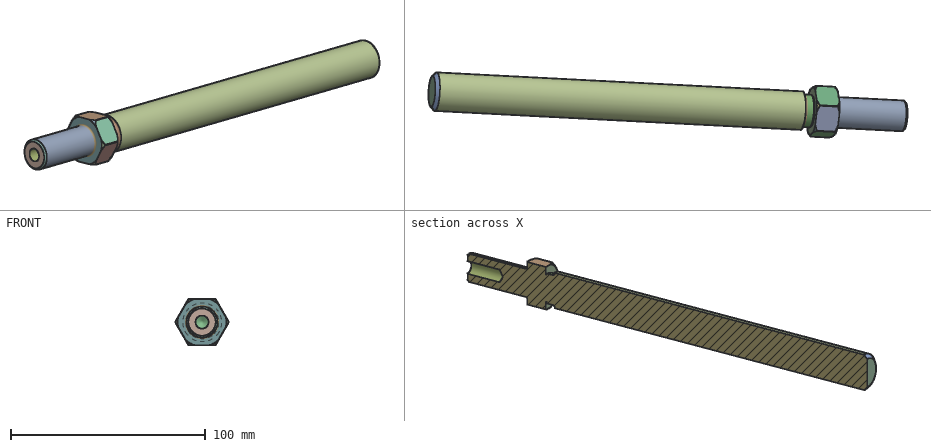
import cadquery as cq
import math

total_length = 249.0
stud_diameter = 16.0
stud_length = 37.0
stud_chamfer = 1.0
stud_root_fillet = 0.7

hex_across_flats = 24.0
hex_thickness = 12.0
hex_corner_diameter = 27.5
hex_face_diameter = 25.0
hex_chamfer_angle = 45.0

neck_diameter = 17.0
neck_length = 5.2
neck_chamfer = 0.7
neck_fillet = 1.2

bar_diameter = 20.0
bar_chamfer_length = 2.0
bar_chamfer_depth = 2.0

hole_diameter = 6.7
hole_depth = 20.0
drill_point_angle = 118.0

front_y = -total_length / 2
hex_front_y = front_y + stud_length
hex_back_y = hex_front_y + hex_thickness
bar_front_y = hex_back_y + neck_length
back_y = total_length / 2


def turned(outline):
    """Revolve a closed (radius, y) outline about the Y axis."""
    return cq.Workplane("XY").polyline(outline).close().revolve(360, (0, 0, 0), (0, 1, 0))


def make_rod():
    stud_radius = stud_diameter / 2
    neck_radius = neck_diameter / 2
    bar_radius = bar_diameter / 2
    stud_root_radius = stud_radius + stud_root_fillet
    neck_root_radius = neck_radius + neck_fillet
    half_root = math.sqrt(0.5)
    stud_fillet_middle = (
        stud_root_radius - stud_root_fillet * half_root,
        hex_front_y - stud_root_fillet * (1 - half_root),
    )
    neck_fillet_middle = (
        neck_root_radius - neck_fillet * half_root,
        bar_front_y - neck_fillet * (1 - half_root),
    )
    outline = (
        cq.Workplane("XY")
        .moveTo(0, front_y)
        .lineTo(stud_radius - stud_chamfer, front_y)
        .lineTo(stud_radius, front_y + stud_chamfer)
        .lineTo(stud_radius, hex_front_y - stud_root_fillet)
        .threePointArc(stud_fillet_middle, (stud_root_radius, hex_front_y))
        .lineTo(stud_root_radius, hex_back_y)
        .lineTo(neck_radius - neck_chamfer, hex_back_y)
        .lineTo(neck_radius, hex_back_y + neck_chamfer)
        .lineTo(neck_radius, bar_front_y - neck_fillet)
        .threePointArc(neck_fillet_middle, (neck_root_radius, bar_front_y))
        .lineTo(bar_radius, bar_front_y)
        .lineTo(bar_radius, back_y - bar_chamfer_length)
        .lineTo(bar_radius - bar_chamfer_depth, back_y)
        .lineTo(0, back_y)
        .close()
    )
    return outline.revolve(360, (0, 0, 0), (0, 1, 0))


def make_hex():
    sharp_radius = hex_across_flats / math.sqrt(3)
    corner_radius = hex_corner_diameter / 2
    face_radius = hex_face_diameter / 2
    chamfer_length = (corner_radius - face_radius) * math.tan(math.radians(hex_chamfer_angle))
    prism = (
        cq.Workplane("XZ", origin=(0, hex_back_y, 0))
        .polygon(6, 2 * sharp_radius)
        .extrude(hex_thickness)
    )
    disc = turned([
        (0, hex_front_y),
        (face_radius, hex_front_y),
        (corner_radius, hex_front_y + chamfer_length),
        (corner_radius, hex_back_y - chamfer_length),
        (face_radius, hex_back_y),
        (0, hex_back_y),
    ])
    return prism.intersect(disc)


def make_drilled_hole():
    hole_radius = hole_diameter / 2
    point_length = hole_radius / math.tan(math.radians(drill_point_angle / 2))
    hole_end_y = front_y + hole_depth
    return turned([
        (0, front_y),
        (hole_radius, front_y),
        (hole_radius, hole_end_y),
        (0, hole_end_y + point_length),
    ])


result = make_rod().union(make_hex()).cut(make_drilled_hole())